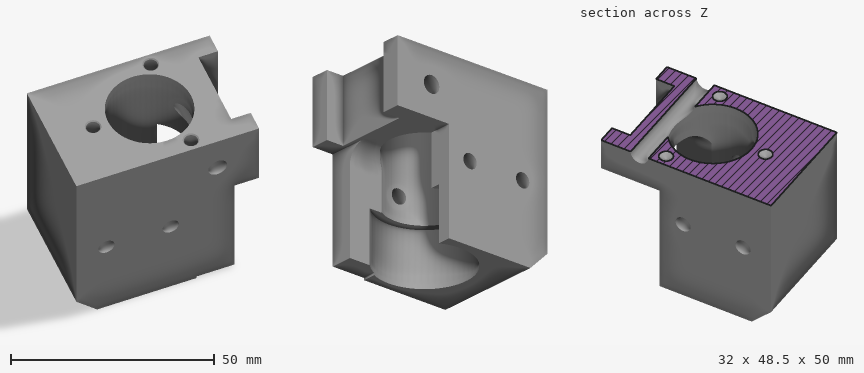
import cadquery as cq

width = 32.0
depth = 48.5
height = 50.0
body_depth = 31.85
overhang_z = 31.0
chamfer = 5.5

wall_inner_x = 9.5
wall_back_y = 42.0
wall_base_z = 0.6
wall_fillet = 5.0

slot_width = 21.2
slot_depth = 5.2

bore_y = 26.0
bore_diameter = 22.0
counterbore_diameter = 27.0
counterbore_depth = 16.0

screw_positions = [(-13.0, 31.65), (13.0, 31.65), (0.0, 11.0)]
screw_diameter = 3.5
screw_mouth_diameter = 4.1
screw_depth = 10.0
drill_tip_height = 1.0

cross_holes = [(37.5, 40.0, 5.0), (25.05, 23.0, 4.3), (8.0, 23.0, 4.3)]


def make_block():
    """Side profile with the rear overhang and the chamfered front edge."""
    profile = [
        (chamfer, 0),
        (body_depth, 0),
        (body_depth, overhang_z),
        (depth, overhang_z),
        (depth, height),
        (0, height),
        (0, chamfer),
    ]
    return cq.Workplane("YZ").polyline(profile).close().extrude(width / 2, both=True)


def make_wall():
    """Rear wall that flares into the overhang through a concave fillet."""
    fillet_start_z = overhang_z - wall_fillet
    return (
        cq.Workplane("XZ", origin=(0, wall_back_y, 0))
        .moveTo(width / 2, wall_base_z)
        .lineTo(wall_inner_x, wall_base_z)
        .lineTo(wall_inner_x, fillet_start_z)
        .radiusArc((wall_inner_x - wall_fillet, overhang_z), -wall_fillet)
        .lineTo(width / 2, overhang_z)
        .close()
        .extrude(wall_back_y - body_depth)
    )


def make_screw_hole(x, y):
    """Drilled hole with a countersunk mouth and a conical tip."""
    radius = screw_diameter / 2
    mouth_radius = screw_mouth_diameter / 2
    floor_z = height - screw_depth
    half_section = [
        (0, height),
        (mouth_radius, height),
        (radius, height - (mouth_radius - radius)),
        (radius, floor_z),
        (0, floor_z - drill_tip_height),
    ]
    hole = cq.Workplane("XZ").polyline(half_section).close().revolve(360, (0, 0), (0, 1))
    return hole.translate((x, y, 0))


def make_cross_hole(y, z, diameter):
    return cq.Workplane("YZ").center(y, z).circle(diameter / 2).extrude(width / 2, both=True)


result = make_block().union(make_wall())

slot = cq.Workplane("XY").box(slot_width, slot_depth, height, centered=(True, False, False))
result = result.cut(slot.translate((0, depth - slot_depth, 0)))

bore_axis = cq.Workplane("XY").center(0, bore_y)
result = result.cut(bore_axis.circle(bore_diameter / 2).extrude(height))
result = result.cut(bore_axis.circle(counterbore_diameter / 2).extrude(counterbore_depth))

for x, y in screw_positions:
    result = result.cut(make_screw_hole(x, y))

for y, z, diameter in cross_holes:
    result = result.cut(make_cross_hole(y, z, diameter))